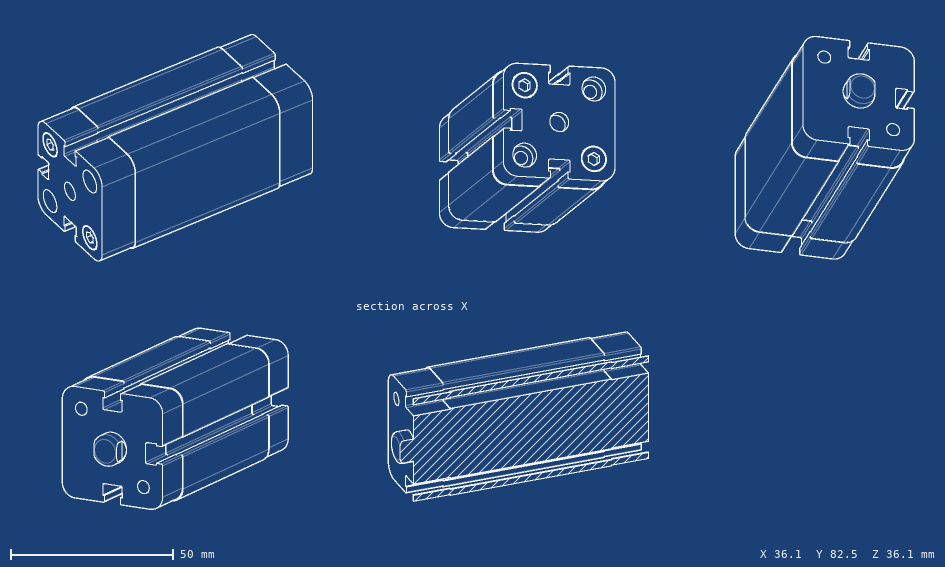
import cadquery as cq
import math


barrel_size = 36.1
cap_inset = 0.25
cap_size = barrel_size - 2 * cap_inset
corner_radius = 4.5
cap_length = 12.25
housing_length = 78.0
barrel_length = housing_length - 2 * cap_length

slot_opening = 5.6
slot_width = 6.8
slot_lip = 2.25
slot_depth = 6.0
slot_edge_radius = 0.5

rod_diameter = 10.0
rod_projection = 4.5
rod_edge_radius = 1.25
flats_width = 8.0
flat_setback = 1.05

fixing_spacing = 22.0
mount_hole_diameter = 4.13
mount_bore_diameter = 7.5
mount_bore_depth = 4.5
screw_head_diameter = 7.5
screw_bore_diameter = 8.0
screw_bore_depth = 4.9
hex_across_flats = 3.5
hex_depth = 3.0
hex_sides = 6
center_hole_diameter = 6.0
center_hole_depth = 4.3


def section_plane(y):
    """Sketch plane across the rod axis at the given Y: local x is X, local y is Z, normal is -Y."""
    return cq.Workplane("XZ", origin=(0, y, 0))


def slot_cutter(outer_size, length, y_start):
    """T-slot along Y in the top side, with rounded mouth edges and floor corners."""
    top = outer_size / 2
    half_opening = slot_opening / 2
    half_width = slot_width / 2
    mouth = half_opening + slot_edge_radius
    lip_z = top - slot_lip
    floor_z = top - slot_depth
    r = slot_edge_radius
    return (
        section_plane(y_start)
        .moveTo(-mouth, top)
        .radiusArc((-half_opening, top - r), r)
        .lineTo(-half_opening, lip_z)
        .lineTo(-half_width, lip_z)
        .lineTo(-half_width, floor_z + r)
        .radiusArc((-half_width + r, floor_z), -r)
        .lineTo(half_width - r, floor_z)
        .radiusArc((half_width, floor_z + r), -r)
        .lineTo(half_width, lip_z)
        .lineTo(half_opening, lip_z)
        .lineTo(half_opening, top - r)
        .radiusArc((mouth, top), r)
        .close()
        .extrude(-length)
    )


def housing_section(outer_size, length, y_start):
    """Rounded square block along Y, slotted on the top, bottom and -X sides."""
    block = section_plane(y_start).rect(outer_size, outer_size).extrude(-length)
    block = block.edges("|Y").fillet(corner_radius)
    slot = slot_cutter(outer_size, length, y_start)
    for angle in (0, 180, -90):
        block = block.cut(slot.rotate((0, 0, 0), (0, 1, 0), angle))
    return block


def housing():
    """Barrel with a slightly smaller cap at each end."""
    front_cap = housing_section(cap_size, cap_length, 0)
    barrel = housing_section(barrel_size, barrel_length, cap_length)
    rear_cap = housing_section(cap_size, cap_length, cap_length + barrel_length)
    return front_cap.union(barrel).union(rear_cap)


def rod_end():
    """Rounded rod stub on the rear cap, with flats that run out at 45 degrees."""
    rod = section_plane(housing_length).circle(rod_diameter / 2).extrude(-rod_projection)
    rod = rod.faces(">Y").edges().fillet(rod_edge_radius)
    flat_x = flats_width / 2
    flat_y = housing_length + flat_setback
    outer_x = rod_diameter
    tip_y = housing_length + rod_projection
    flat = (
        cq.Workplane("XY")
        .moveTo(flat_x, tip_y)
        .lineTo(flat_x, flat_y)
        .lineTo(outer_x, flat_y - (outer_x - flat_x))
        .lineTo(outer_x, tip_y)
        .close()
        .extrude(rod_diameter / 2, both=True)
    )
    return rod.cut(flat).cut(flat.mirror("YZ"))


def mount_holes():
    """Counterbored through holes on one diagonal."""
    offset = fixing_spacing / 2
    points = [(offset, offset), (-offset, -offset)]
    bores = section_plane(0).pushPoints(points).circle(mount_bore_diameter / 2).extrude(-mount_bore_depth)
    holes = section_plane(0).pushPoints(points).circle(mount_hole_diameter / 2).extrude(-housing_length)
    return bores.union(holes)


def screw_recesses():
    """Clearance rings around the flush screw heads, and their hex sockets, on the other diagonal."""
    offset = fixing_spacing / 2
    points = [(-offset, offset), (offset, -offset)]
    bores = section_plane(0).pushPoints(points).circle(screw_bore_diameter / 2).extrude(-screw_bore_depth)
    heads = section_plane(0).pushPoints(points).circle(screw_head_diameter / 2).extrude(-screw_bore_depth)
    hex_across_corners = hex_across_flats / math.cos(math.pi / hex_sides)
    hexagon = cq.Sketch().regularPolygon(hex_across_corners / 2, hex_sides)
    sockets = section_plane(0).pushPoints(points).placeSketch(hexagon).extrude(-hex_depth)
    return bores.cut(heads).union(sockets)


def center_hole():
    """Blind centring hole in the front cap."""
    return section_plane(0).circle(center_hole_diameter / 2).extrude(-center_hole_depth)


result = (
    housing()
    .union(rod_end())
    .cut(mount_holes())
    .cut(screw_recesses())
    .cut(center_hole())
)